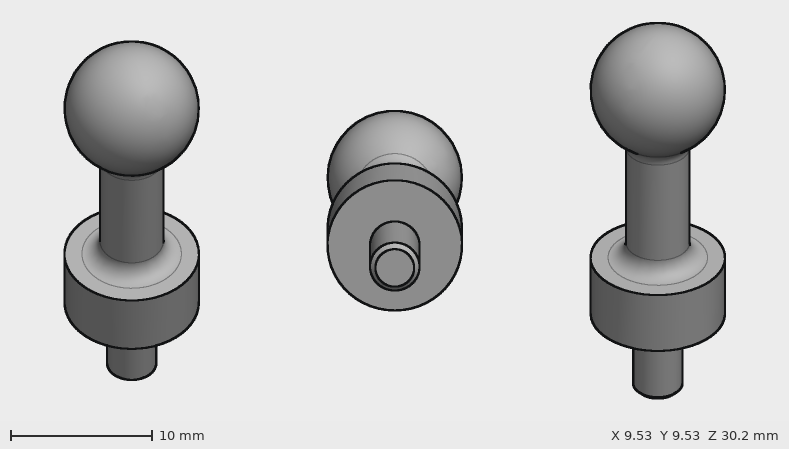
import cadquery as cq
import math


ball_diameter = 9.525
collar_diameter = 9.525
collar_height = 4.7625
neck_diameter = 4.5
neck_fillet = 1.27
pin_diameter = 3.505
pin_length = 6.35
pin_chamfer = 0.381
ball_top_above_collar = 19.05

ball_radius = ball_diameter / 2
collar_radius = collar_diameter / 2
neck_radius = neck_diameter / 2
pin_radius = pin_diameter / 2
ball_top_z = collar_height + ball_top_above_collar
ball_center_z = ball_top_z - ball_radius

fillet_center_radius = neck_radius + neck_fillet
lower_fillet_center_z = collar_height + neck_fillet

center_distance = ball_radius + neck_fillet
upper_fillet_center_z = ball_center_z - math.sqrt(center_distance**2 - fillet_center_radius**2)

contact_angle = math.acos(fillet_center_radius / center_distance)

lower_fillet_middle_angle = math.radians(225)


def point_on_arc(center_r, center_z, radius, angle):
    """Point (r, z) on a circle in the half-section, angle measured from the outward direction."""
    return (center_r + radius * math.cos(angle), center_z + radius * math.sin(angle))


def half_section():
    """Closed outline of the stud on one side of its axis, from the pin tip up to the ball top."""
    lower_fillet_middle = point_on_arc(
        fillet_center_radius, lower_fillet_center_z, neck_fillet, lower_fillet_middle_angle
    )
    upper_fillet_middle = point_on_arc(
        fillet_center_radius, upper_fillet_center_z, neck_fillet, math.pi - contact_angle / 2
    )
    ball_contact = point_on_arc(0, ball_center_z, ball_radius, -contact_angle)

    return (
        cq.Workplane("XZ")
        .moveTo(0, -pin_length)
        .lineTo(pin_radius - pin_chamfer, -pin_length)
        .lineTo(pin_radius, pin_chamfer - pin_length)
        .lineTo(pin_radius, 0)
        .lineTo(collar_radius, 0)
        .lineTo(collar_radius, collar_height)
        .lineTo(fillet_center_radius, collar_height)
        .threePointArc(lower_fillet_middle, (neck_radius, lower_fillet_center_z))
        .lineTo(neck_radius, upper_fillet_center_z)
        .threePointArc(upper_fillet_middle, ball_contact)
        .threePointArc((ball_radius, ball_center_z), (0, ball_top_z))
        .close()
    )


result = half_section().revolve(360, (0, 0, 0), (0, 1, 0))